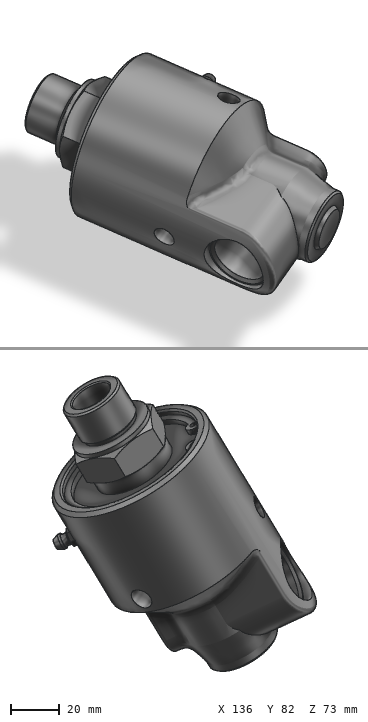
import cadquery as cq
import math

total_length = 136.0
overall_width = 82.0

shaft_diameter = 26.4
shaft_chamfer = 0.8
shaft_thread_end = 15.0
undercut_diameter = 24.3
undercut_chamfer = 0.8
collar_diameter = 35.0
collar_start = 17.1
hex_start = 19.0
hex_end = 32.2
hex_across_flats = 35.6
hex_chamfer_angle = 30.0
shaft_bore_diameter = 17.5
shaft_bore_chamfer = 0.5
shaft_bore_depth = 54.4

body_diameter = 73.0
body_start = 33.5
body_chamfer = 1.6
body_end = 85.5
cone_half_angle = 51.0
neck_diameter = 38.9
neck_end = 117.5
cap_diameter = 32.0
cap_taper_end = 130.4
cap_end = 134.2
cap_chamfer = 0.8
end_stub_base_diameter = 19.6
end_stub_tip_diameter = 17.5
root_fillet = 5.7

recess_diameter = 62.5
recess_mouth_chamfer = 0.8
recess_depth = 5.0
ring_inner_diameter = 56.4
ring_thickness = 2.5
ring_gap_half_width = 4.8
ring_ear_diameter = 7.1
ring_hole_diameter = 2.9
ring_hole_y = 28.4
ring_hole_z = 8.4

port_x = 111.3
port_boss_radius = 19.0
port_edge_fillet = 2.0
port_counterbore_diameter = 27.7
port_counterbore_depth = 4.1
port_lead_in_diameter = 26.4
port_bore_diameter = 23.8
port_floor_diameter = 23.0
port_depth = 20.4

pad_half_width = 10.0
pad_top = 25.5
pad_edge_fillet = 1.9

vent_x = 78.7
vent_diameter = 9.4
vent_depth = 17.0
vent_count = 3

nipple_x = 55.0
nipple_hex_across_flats = 7.0
nipple_hex_top = 38.7
nipple_shoulder = 39.3
nipple_stem_diameter = 5.8
nipple_waist_diameter = 5.3
nipple_head_bottom = 41.7
nipple_head_diameter = 6.8
nipple_head_top = 42.8
nipple_tip_diameter = 4.6
nipple_top = overall_width - body_diameter / 2
nipple_embed = 1.4

body_radius = body_diameter / 2
neck_radius = neck_diameter / 2
body_middle_x = (body_start + body_end) / 2
cone_foot_x = body_end + (body_radius - neck_radius) / math.tan(math.radians(cone_half_angle))
recess_floor_x = body_start + recess_depth

pick_tolerance = 0.1


def cylinder_x(diameter, start, end):
    return cq.Workplane("YZ").workplane(offset=start).circle(diameter / 2).extrude(end - start)


def revolve_x(points):
    return cq.Workplane("XY").polyline([(x, r) for x, r in points]).close().revolve(360, (0, 0, 0), (1, 0, 0))


def stadium_y(half_width, start_x, center_x, y_low, y_high):
    """Slab along Y with a flat start and a half-round end toward +X."""
    return (
        cq.Workplane("XZ", origin=(0, y_high, 0))
        .moveTo(start_x, half_width)
        .lineTo(center_x, half_width)
        .threePointArc((center_x + half_width, 0), (center_x, -half_width))
        .lineTo(start_x, -half_width)
        .close()
        .extrude(y_high - y_low)
    )


def hexagon_corner_diameter(across_flats):
    return across_flats / math.cos(math.pi / 6)


def root_edges(body):
    """Concave edges where the cone, the neck, the port boss and the pad meet."""
    pad_foot_y = math.sqrt(neck_radius**2 - pad_half_width**2)
    pad_end_x = port_x + pad_half_width
    roots = []
    for edge in body.edges().vals():
        box = edge.BoundingBox()
        on_cone = edge.geomType() == "HYPERBOLA"
        at_cone_foot = box.xlen < pick_tolerance and abs(box.center.x - cone_foot_x) < pick_tolerance
        at_pad_foot = box.ymin > pad_foot_y - pick_tolerance and box.ymax < neck_radius - pick_tolerance
        if on_cone or at_cone_foot or (at_pad_foot and box.xmax < pad_end_x + pick_tolerance):
            roots.append(edge)
    return roots


def port_rim_edges(body):
    """Edges where the sides of the port boss meet the round skin of the housing."""
    skin_y = -math.sqrt(body_radius**2 - port_boss_radius**2)
    rim = []
    for edge in body.edges().vals():
        box = edge.BoundingBox()
        on_skin = box.ymax < skin_y + pick_tolerance
        if on_skin and box.xmin > body_end - pick_tolerance and box.xlen > pick_tolerance:
            rim.append(edge)
    return rim


def pad_rim_edges(body):
    """Edges around the flat top of the pad, except where it runs into the cone."""
    rim = []
    for edge in body.edges().vals():
        box = edge.BoundingBox()
        on_top = box.ymin > pad_top - pick_tolerance and box.ymax < pad_top + pick_tolerance
        if on_top and edge.geomType() != "HYPERBOLA":
            rim.append(edge)
    return rim


def round_edges(body, edges, radius):
    """Fillet the edges, then repair the trimmed faces the fillet leaves behind."""
    return cq.Workplane(body.val().fillet(radius, edges).fix())


def housing():
    cap_radius = cap_diameter / 2
    core = revolve_x(
        [
            (body_start, 0),
            (body_start, body_radius),
            (body_end, body_radius),
            (cone_foot_x, neck_radius),
            (neck_end, neck_radius),
            (cap_taper_end, cap_radius),
            (cap_end, cap_radius),
            (cap_end, 0),
        ]
    )
    boss = stadium_y(port_boss_radius, body_middle_x, port_x, -body_radius, 0)
    boss = boss.intersect(cylinder_x(body_diameter, body_start, total_length))
    pad = stadium_y(pad_half_width, body_middle_x, port_x, 0, pad_top)
    sharp = core.union(boss).union(pad)
    rounded = round_edges(sharp, port_rim_edges(sharp), port_edge_fillet)
    rounded = round_edges(rounded, pad_rim_edges(rounded), pad_edge_fillet)
    blended = round_edges(rounded, root_edges(rounded), root_fillet)
    blended = blended.faces("<X").edges().chamfer(body_chamfer)
    blended = blended.faces(">X").edges().chamfer(cap_chamfer)
    return blended.union(end_stub())


def end_stub():
    """Short plug that tapers toward the free end."""
    base_radius = end_stub_base_diameter / 2
    tip_radius = end_stub_tip_diameter / 2
    return revolve_x([(cap_end, 0), (cap_end, base_radius), (total_length, tip_radius), (total_length, 0)])


def port_cutter():
    """Counterbore, conical lead-in and slightly tapered bore, running toward +Y."""
    mouth_y = -body_radius
    seat_y = mouth_y + port_counterbore_depth
    bore_y = seat_y + (port_lead_in_diameter - port_bore_diameter) / 2
    floor_y = mouth_y + port_depth
    return (
        cq.Workplane("XY")
        .polyline(
            [
                (0, mouth_y),
                (port_counterbore_diameter / 2, mouth_y),
                (port_counterbore_diameter / 2, seat_y),
                (port_lead_in_diameter / 2, seat_y),
                (port_bore_diameter / 2, bore_y),
                (port_floor_diameter / 2, floor_y),
                (0, floor_y),
            ]
        )
        .close()
        .revolve(360, (0, 0, 0), (0, 1, 0))
        .translate((port_x, 0, 0))
    )


def vent_cutter(index):
    hole = cq.Workplane("XZ", origin=(vent_x, -body_radius, 0)).circle(vent_diameter / 2)
    return hole.extrude(-vent_depth).rotate((0, 0, 0), (1, 0, 0), index * 360 / vent_count)


def recess_cutter():
    radius = recess_diameter / 2
    mouth = radius + recess_mouth_chamfer
    return revolve_x(
        [
            (body_start, 0),
            (body_start, mouth),
            (body_start + recess_mouth_chamfer, radius),
            (recess_floor_x, radius),
            (recess_floor_x, 0),
        ]
    )


def retaining_ring():
    ring_front = recess_floor_x - ring_thickness
    ring = cylinder_x(recess_diameter, ring_front, recess_floor_x)
    ring = ring.cut(cylinder_x(ring_inner_diameter, ring_front, recess_floor_x))
    plane = cq.Workplane("YZ").workplane(offset=ring_front)
    hole_centers = [(-ring_hole_y, ring_hole_z), (-ring_hole_y, -ring_hole_z)]
    ears = plane.pushPoints(hole_centers).circle(ring_ear_diameter / 2).extrude(ring_thickness)
    ears = ears.intersect(cylinder_x(recess_diameter, ring_front, recess_floor_x))
    gap_width = 2 * ring_gap_half_width
    gap = plane.center(-recess_diameter / 2, 0).rect(recess_diameter / 2, gap_width).extrude(ring_thickness)
    holes = plane.pushPoints(hole_centers).circle(ring_hole_diameter / 2).extrude(ring_thickness)
    return ring.union(ears).cut(gap).cut(holes)


def shaft():
    thread_radius = shaft_diameter / 2
    undercut_radius = undercut_diameter / 2
    collar_radius = collar_diameter / 2
    spindle = revolve_x(
        [
            (0, 0),
            (0, thread_radius - shaft_chamfer),
            (shaft_chamfer, thread_radius),
            (shaft_thread_end, thread_radius),
            (shaft_thread_end + undercut_chamfer, undercut_radius),
            (collar_start, undercut_radius),
            (collar_start, collar_radius),
            (recess_floor_x, collar_radius),
            (recess_floor_x, 0),
        ]
    )
    return spindle.union(wrench_hexagon())


def wrench_hexagon():
    """Hexagon with corners on +Z and -Z, both ends turned to a shallow cone."""
    corner_diameter = hexagon_corner_diameter(hex_across_flats)
    prism = cq.Workplane("YZ").workplane(offset=hex_start).polygon(6, corner_diameter)
    prism = prism.extrude(hex_end - hex_start).rotate((0, 0, 0), (1, 0, 0), 90)
    face_radius = collar_diameter / 2
    corner_radius = corner_diameter / 2
    cone_length = (corner_radius - face_radius) * math.tan(math.radians(hex_chamfer_angle))
    turned = revolve_x(
        [
            (hex_start, 0),
            (hex_start, face_radius),
            (hex_start + cone_length, corner_radius),
            (hex_end - cone_length, corner_radius),
            (hex_end, face_radius),
            (hex_end, 0),
        ]
    )
    return prism.intersect(turned)


def shaft_bore():
    radius = shaft_bore_diameter / 2
    return revolve_x(
        [
            (0, 0),
            (0, radius + shaft_bore_chamfer),
            (shaft_bore_chamfer, radius),
            (shaft_bore_depth, radius),
            (shaft_bore_depth, 0),
        ]
    )


def grease_nipple():
    root_y = body_radius - nipple_embed
    corner_diameter = hexagon_corner_diameter(nipple_hex_across_flats)
    base = cq.Workplane("XZ", origin=(nipple_x, root_y, 0)).polygon(6, corner_diameter)
    base = base.extrude(root_y - nipple_hex_top).rotate((nipple_x, 0, 0), (nipple_x, 1, 0), 30)
    waist_y = (nipple_shoulder + nipple_head_bottom) / 2
    stem_radius = nipple_stem_diameter / 2
    waist_radius = nipple_waist_diameter / 2
    head_radius = nipple_head_diameter / 2
    stem = (
        cq.Workplane("XY")
        .moveTo(0, root_y)
        .lineTo(stem_radius, root_y)
        .lineTo(stem_radius, nipple_shoulder)
        .threePointArc((waist_radius, waist_y), (stem_radius, nipple_head_bottom))
        .lineTo(head_radius, nipple_head_bottom)
        .lineTo(head_radius, nipple_head_top)
        .lineTo(nipple_tip_diameter / 2, nipple_top)
        .lineTo(0, nipple_top)
        .close()
        .revolve(360, (0, 0, 0), (0, 1, 0))
        .translate((nipple_x, 0, 0))
    )
    return base.union(stem)


result = housing().cut(recess_cutter())
result = result.union(retaining_ring()).union(shaft()).union(grease_nipple())
result = result.cut(shaft_bore()).cut(port_cutter())
for vent in range(vent_count):
    result = result.cut(vent_cutter(vent))